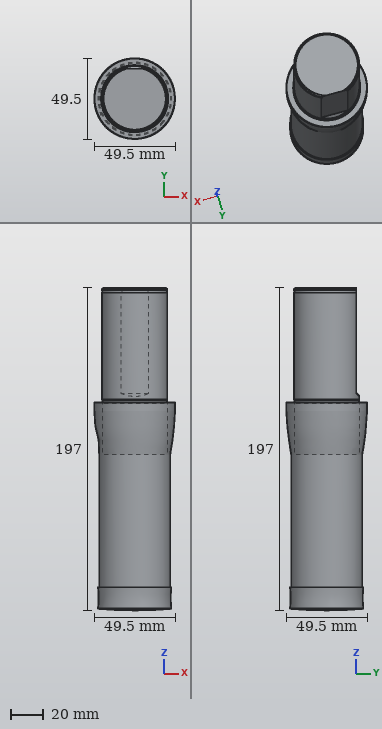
import cadquery as cq

total_height = 197.0

head_radius = 49.5 / 2
barrel_radius = 43.5 / 2
foot_radius = 22.5
foot_waist_radius = 22.0
dome_height = 1.0
foot_chamfer = 0.4
foot_top = 14.2
flare_bottom = 95.3
flare_top = 121.7
flare_bulge = 0.5
head_top = 127.3
head_chamfer_height = 0.5
head_chamfer_width = 0.3
mouth_chamfer = 0.8

shaft_radius = 40.0 / 2
neck_radius = 39.5 / 2
seat_level = flare_bottom
shaft_bottom = 128.5
shaft_chamfer = 0.5
cap_radius = 19.0
cap_chamfer_height = 0.8
cap_rim_height = 0.8
groove_height = 1.5
flat_offset = 18.1
flat_bottom = 130.8


def make_housing():
    """Revolved housing with a domed foot and a blind bore in its head."""
    foot_bottom = dome_height + foot_chamfer
    dome_edge_radius = foot_radius - foot_chamfer
    dome_radius = (dome_edge_radius**2 + dome_height**2) / (2 * dome_height)
    dome_mid_radius = dome_edge_radius / 2
    dome_mid_height = dome_radius - (dome_radius**2 - dome_mid_radius**2) ** 0.5
    flare_mid_radius = (head_radius + barrel_radius) / 2 + flare_bulge
    profile = (
        cq.Workplane("XZ")
        .moveTo(0, 0)
        .threePointArc((dome_mid_radius, dome_mid_height), (dome_edge_radius, dome_height))
        .lineTo(foot_radius, foot_bottom)
        .threePointArc((foot_waist_radius, (foot_bottom + foot_top) / 2), (foot_radius, foot_top))
        .lineTo(barrel_radius, foot_top)
        .lineTo(barrel_radius, flare_bottom)
        .threePointArc((flare_mid_radius, (flare_bottom + flare_top) / 2), (head_radius, flare_top))
        .lineTo(head_radius, head_top - head_chamfer_height)
        .lineTo(head_radius - head_chamfer_width, head_top)
        .lineTo(neck_radius + mouth_chamfer, head_top)
        .lineTo(neck_radius, head_top - mouth_chamfer)
        .lineTo(neck_radius, seat_level)
        .lineTo(0, seat_level)
        .close()
    )
    return profile.revolve(360, (0, 0, 0), (0, 1, 0))


def make_plunger():
    """Revolved plunger with a groove below its cap and a flat on its +Y side."""
    cap_top = total_height - cap_chamfer_height
    cap_bottom = cap_top - cap_rim_height
    groove_bottom = cap_bottom - groove_height
    profile = (
        cq.Workplane("XZ")
        .moveTo(0, seat_level)
        .lineTo(neck_radius, seat_level)
        .lineTo(neck_radius, shaft_bottom)
        .lineTo(shaft_radius, shaft_bottom + shaft_chamfer)
        .lineTo(shaft_radius, groove_bottom)
        .lineTo(neck_radius, groove_bottom)
        .lineTo(neck_radius, cap_bottom)
        .lineTo(shaft_radius, cap_bottom)
        .lineTo(shaft_radius, cap_top)
        .lineTo(cap_radius, total_height)
        .lineTo(0, total_height)
        .close()
    )
    body = profile.revolve(360, (0, 0, 0), (0, 1, 0))
    return body.cut(make_flat_cutter())


def make_flat_cutter():
    """Block outside the flat, with a 45 degree ramp at the lower end."""
    cutter_depth = shaft_radius - flat_offset
    profile = (
        cq.Workplane("YZ")
        .moveTo(flat_offset, total_height)
        .lineTo(flat_offset, flat_bottom + cutter_depth)
        .lineTo(shaft_radius, flat_bottom)
        .lineTo(shaft_radius, total_height)
        .close()
    )
    return profile.extrude(shaft_radius, both=True)


housing = make_housing()
plunger = make_plunger()

result = cq.Compound.makeCompound([housing.val(), plunger.val()])